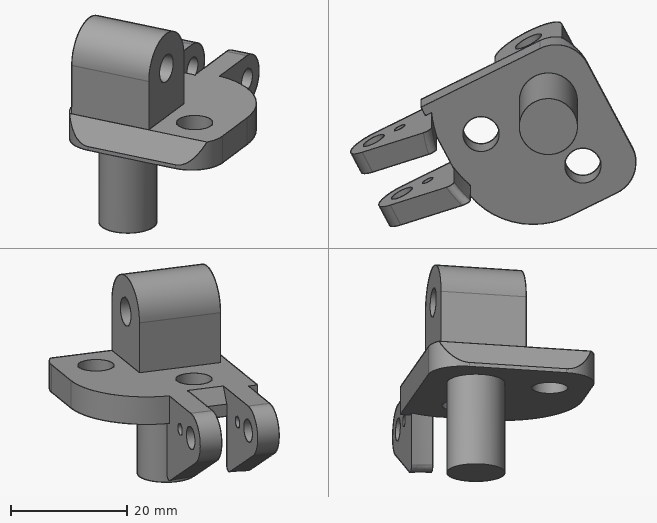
import cadquery as cq
import math


overall_length = 43.5
overall_height = 36.7

plate_side = 29.0
plate_thickness = 5.0
front_y = -9.0
left_x = front_y
back_y = front_y + plate_side
front_corner_radius = 6.0
back_corner_radius = 14.0
bevel_depth = 2.5
bevel_angle = math.radians(60)
mount_hole_diameter = 6.2
mount_hole_offset = 13.0

stem_diameter = 10.0
stem_length = 16.2
lug_length = 15.0
lug_radius = 6.5
lug_height = overall_height - stem_length - plate_thickness
lug_hole_diameter = 5.0

prong_thickness = 4.0
slot_width = 6.6
fork_half_width = slot_width / 2 + prong_thickness
fork_end_radius = 4.5
pivot_y = front_y + overall_length - fork_end_radius
pivot_z = plate_thickness - fork_end_radius
pivot_hole_diameter = 4.0
pin_hole_diameter = 2.0
pin_hole_spacing = 5.0
underside_angle = math.radians(30)
clearance_radius = 20.2
tip_radius = 1.0
slot_bevel_depth = 1.6


def make_plate():
    plate = cq.Workplane("XY").rect(plate_side, plate_side).extrude(plate_thickness)
    plate = plate.translate((left_x + plate_side / 2, front_y + plate_side / 2, 0))
    plate = plate.edges("|Z and <Y").fillet(front_corner_radius)
    plate = plate.edges("|Z and >X and >Y").fillet(back_corner_radius)
    bevel_height = bevel_depth * math.tan(bevel_angle)
    bevel = (
        cq.Workplane("YZ", origin=(left_x, 0, 0))
        .moveTo(front_y, plate_thickness)
        .lineTo(front_y + bevel_depth, plate_thickness)
        .lineTo(front_y, plate_thickness - bevel_height)
        .close()
        .extrude(plate_side)
    )
    return plate.cut(bevel)


def make_lug():
    axis_z = plate_thickness + lug_height - lug_radius
    return (
        cq.Workplane("YZ", origin=(-lug_length / 2, 0, 0))
        .moveTo(-lug_radius, plate_thickness)
        .lineTo(-lug_radius, axis_z)
        .threePointArc((0, axis_z + lug_radius), (lug_radius, axis_z))
        .lineTo(lug_radius, plate_thickness)
        .close()
        .extrude(lug_length)
        .cut(
            cq.Workplane("YZ", origin=(-lug_length / 2, 0, 0))
            .center(0, axis_z)
            .circle(lug_hole_diameter / 2)
            .extrude(lug_length)
        )
    )


def make_fork():
    tangent_y = pivot_y + fork_end_radius * math.sin(underside_angle)
    tangent_z = pivot_z - fork_end_radius * math.cos(underside_angle)
    axis_z = tangent_z - tangent_y * math.tan(underside_angle)
    fork = (
        cq.Workplane("YZ", origin=(-fork_half_width, 0, 0))
        .moveTo(0, plate_thickness)
        .lineTo(pivot_y, plate_thickness)
        .threePointArc((pivot_y + fork_end_radius, pivot_z), (tangent_y, tangent_z))
        .lineTo(0, axis_z)
        .close()
        .extrude(2 * fork_half_width)
    )
    clearance = (
        cq.Workplane("XY", origin=(0, 0, axis_z))
        .circle(clearance_radius)
        .extrude(plate_thickness - axis_z)
    )
    return fork.cut(clearance).edges("<Z").fillet(tip_radius)


def make_slot():
    bevel_height = slot_bevel_depth * math.tan(bevel_angle)
    lowest_z = -stem_length
    slot_far_y = pivot_y + fork_end_radius
    return (
        cq.Workplane("YZ", origin=(-slot_width / 2, 0, 0))
        .moveTo(back_y - slot_bevel_depth, plate_thickness)
        .lineTo(back_y, plate_thickness - bevel_height)
        .lineTo(back_y, 0)
        .lineTo(0, 0)
        .lineTo(0, lowest_z)
        .lineTo(slot_far_y, lowest_z)
        .lineTo(slot_far_y, plate_thickness)
        .close()
        .extrude(slot_width)
    )


def make_fork_holes():
    pivot_y_and_size = (pivot_y, pivot_hole_diameter)
    pin_y_and_size = (pivot_y - pin_hole_spacing, pin_hole_diameter)
    holes = cq.Workplane("YZ")
    for hole_y, diameter in (pivot_y_and_size, pin_y_and_size):
        hole = cq.Workplane("YZ", origin=(-fork_half_width, hole_y, pivot_z)).circle(diameter / 2)
        holes = holes.add(hole.extrude(2 * fork_half_width))
    return holes.combine()


mount_holes = (
    cq.Workplane("XY")
    .pushPoints([(0, mount_hole_offset), (mount_hole_offset, 0)])
    .circle(mount_hole_diameter / 2)
    .extrude(plate_thickness)
)
stem = cq.Workplane("XY").circle(stem_diameter / 2).extrude(-stem_length)

result = (
    make_plate()
    .union(make_fork())
    .cut(make_slot())
    .cut(make_fork_holes())
    .cut(mount_holes)
    .union(make_lug())
    .union(stem)
)